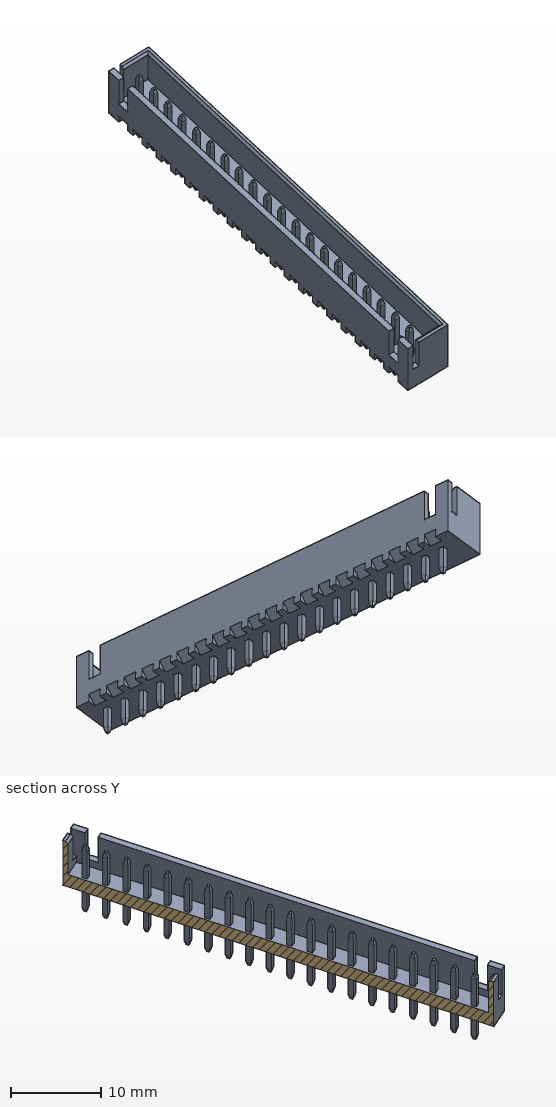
import cadquery as cq

length = 52.6
depth = 5.7
housing_height = 7.0

wall = 0.7
front_wall = 0.75
floor_height = 2.0
ledge_height = 2.65
ledge_front = 3.0
rim_chamfer_width = 0.3
rim_chamfer_drop = 0.25

pin_count = 20
pin_row_length = 47.5
pin_size = 0.65
pin_tip_size = 0.3
pin_tip_length = 0.65
pin_y = 2.3
pin_bottom = -3.3
pin_top = 6.85

slot_width = 1.6
slot_bottom = 3.05
end_slot_width = 0.85

recess_height = 1.0
recess_depth = 1.05

pin_pitch = pin_row_length / (pin_count - 1)
pin_positions = [-pin_row_length / 2 + i * pin_pitch for i in range(pin_count)]
cavity_length = length - 2 * wall
cavity_depth = depth - front_wall - wall
slot_height = housing_height - slot_bottom


def block(size_x, size_y, size_z, x, y, z):
    """Box centred on x, with its front face at y and its underside at z."""
    return cq.Workplane("XY").box(size_x, size_y, size_z, centered=(True, False, False)).translate((x, y, z))


def make_housing():
    """Open-topped shroud with a raised ledge along the rear of its floor."""
    shell = block(length, depth, housing_height, 0, 0, 0)
    cavity = block(cavity_length, cavity_depth, housing_height - floor_height, 0, front_wall, floor_height)
    ledge = block(length, depth - ledge_front, ledge_height, 0, ledge_front, 0)
    return shell.cut(cavity).union(ledge)


def make_rim_chamfer():
    """Lead-in cutter for the rear and end walls; the front wall stays square."""
    rear = depth - wall
    bottom = housing_height - rim_chamfer_drop
    mouth_length = cavity_length + 2 * rim_chamfer_width
    mouth_depth = cavity_depth + rim_chamfer_width
    return (
        cq.Workplane("XY", origin=(0, rear - cavity_depth / 2, bottom))
        .rect(cavity_length, cavity_depth)
        .workplane(offset=rim_chamfer_drop)
        .center(0, rim_chamfer_width / 2)
        .rect(mouth_length, mouth_depth)
        .loft(ruled=True)
    )


def make_recess(x):
    """Triangular prism cutting the lower front edge below one pin."""
    return (
        cq.Workplane("YZ", origin=(x - slot_width / 2, 0, 0))
        .polyline([(0, 0), (recess_depth, 0), (0, recess_height)])
        .close()
        .extrude(slot_width)
    )


def make_pin(x):
    """Square pin with a pyramidal tip at both ends."""
    shank_bottom = pin_bottom + pin_tip_length
    shank_top = pin_top - pin_tip_length
    pin = block(pin_size, pin_size, shank_top - shank_bottom, x, pin_y - pin_size / 2, shank_bottom)
    for shank_end, tip_offset in ((shank_bottom, -pin_tip_length), (shank_top, pin_tip_length)):
        tip = (
            cq.Workplane("XY", origin=(x, pin_y, shank_end))
            .rect(pin_size, pin_size)
            .workplane(offset=tip_offset)
            .rect(pin_tip_size, pin_tip_size)
            .loft(ruled=True)
        )
        pin = pin.union(tip)
    return pin


result = make_housing().cut(make_rim_chamfer())

for slot_x in (pin_positions[0], pin_positions[-1]):
    result = result.cut(block(slot_width, front_wall, slot_height, slot_x, 0, slot_bottom))

result = result.cut(block(length, end_slot_width, slot_height, 0, front_wall, slot_bottom))

for pin_x in pin_positions:
    result = result.cut(make_recess(pin_x))
    result = result.union(make_pin(pin_x))